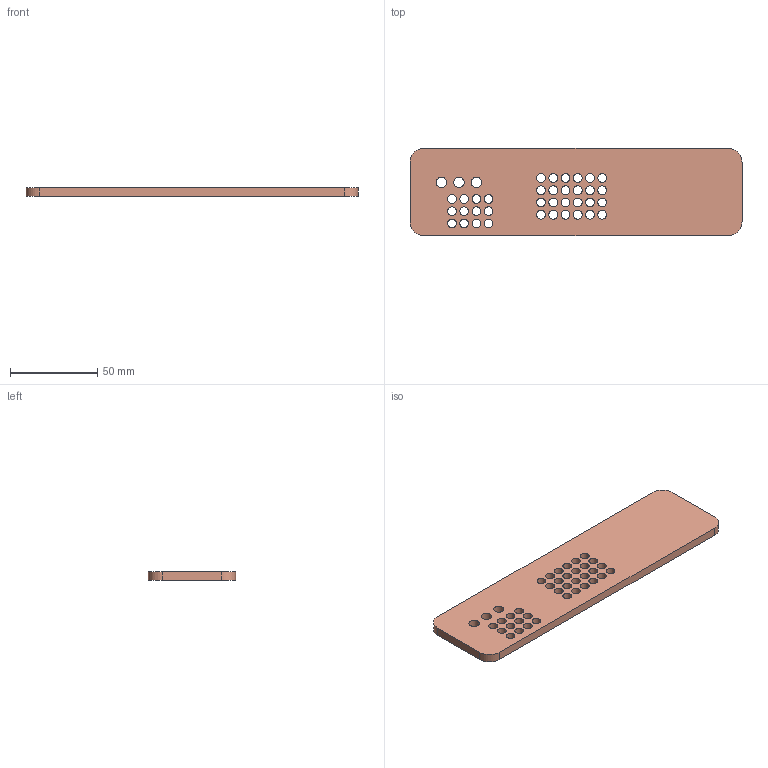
import cadquery as cq

PLATE_LENGTH = 190.0
PLATE_WIDTH = 50.0
PLATE_THICKNESS = 5.0
CORNER_RADIUS = 8.0

LEFT_EDGE = -PLATE_LENGTH / 2
FRONT_EDGE = -PLATE_WIDTH / 2

LARGE_HOLE_DIAMETER = 6.0
LARGE_HOLE_PITCH = 10.0
LARGE_HOLE_COUNT = 3
LARGE_ROW_FROM_LEFT = 18.0
LARGE_ROW_FROM_FRONT = 30.5

SMALL_HOLE_DIAMETER = 5.0
SMALL_HOLE_PITCH = 7.0

LEFT_GRID_COLUMNS = 4
LEFT_GRID_ROWS = 3
LEFT_GRID_FROM_LEFT = 24.0
LEFT_GRID_FROM_FRONT = 7.0

MIDDLE_GRID_COLUMNS = 6
MIDDLE_GRID_ROWS = 4
MIDDLE_GRID_FROM_LEFT = 75.0
MIDDLE_GRID_FROM_FRONT = 12.0


def make_plate():
    """Flat rectangular plate with rounded vertical corners."""
    plate = cq.Workplane("XY").box(
        PLATE_LENGTH, PLATE_WIDTH, PLATE_THICKNESS, centered=(True, True, False)
    )
    return plate.edges("|Z").fillet(CORNER_RADIUS)


def hole_grid(from_left, from_front, columns, rows, pitch, diameter):
    """Through-hole cutters; the offsets locate the front-left hole centre."""
    centres = [
        (LEFT_EDGE + from_left + column * pitch, FRONT_EDGE + from_front + row * pitch)
        for column in range(columns)
        for row in range(rows)
    ]
    return cq.Workplane("XY").pushPoints(centres).circle(diameter / 2).extrude(PLATE_THICKNESS)


large_row = hole_grid(
    LARGE_ROW_FROM_LEFT,
    LARGE_ROW_FROM_FRONT,
    LARGE_HOLE_COUNT,
    1,
    LARGE_HOLE_PITCH,
    LARGE_HOLE_DIAMETER,
)
left_grid = hole_grid(
    LEFT_GRID_FROM_LEFT,
    LEFT_GRID_FROM_FRONT,
    LEFT_GRID_COLUMNS,
    LEFT_GRID_ROWS,
    SMALL_HOLE_PITCH,
    SMALL_HOLE_DIAMETER,
)
middle_grid = hole_grid(
    MIDDLE_GRID_FROM_LEFT,
    MIDDLE_GRID_FROM_FRONT,
    MIDDLE_GRID_COLUMNS,
    MIDDLE_GRID_ROWS,
    SMALL_HOLE_PITCH,
    SMALL_HOLE_DIAMETER,
)

result = make_plate().cut(large_row).cut(left_grid).cut(middle_grid)